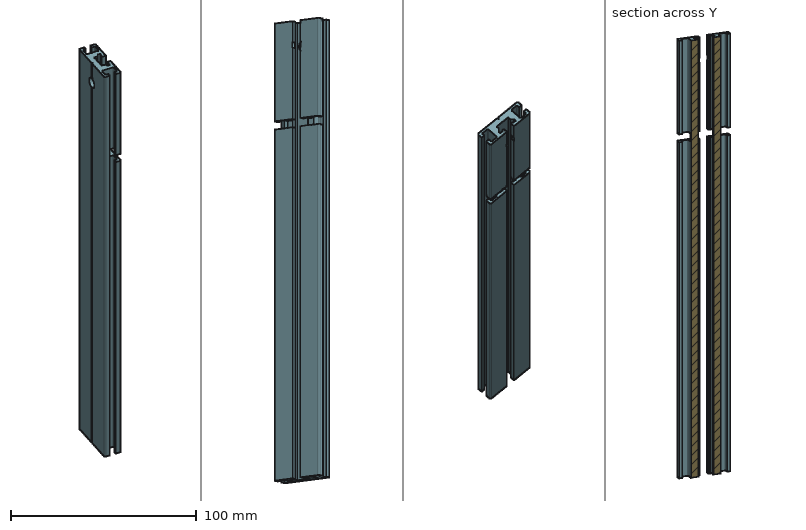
import cadquery as cq

width = 30.0
depth = 10.0
length = 250.0
corner = 0.8

front_flange = 1.5
back_flange = 1.2
pocket_corner = 0.5
side_lip_width = 2.0
side_opening = 3.5
side_web_x = 8.8

slot_opening = 5.2
slot_lip_width = 1.2
slot_roof = 2.0
slot_lip_height = 2.5
slot_half_width = 5.8
slot_shoulder_y = 6.8
slot_floor_half_width = 4.2
slot_taper_end_y = 5.5
slot_floor_y = 3.8

groove_width = 0.8
groove_depth = 0.8

hole_diameter = 6.0
hole_from_top = 13.0
notch_width = 4.5
notch_depth = 3.8
notch_bottom_z = 192.0


def mirrored_prism(right_half):
    """Extrude an outline symmetric about X = 0, given its right half from bottom to top."""
    left_half = [(-x, y) for x, y in reversed(right_half) if x > 0]
    return cq.Workplane("XY").polyline(right_half + left_half).close().extrude(length)


def rail_blank():
    blank = cq.Workplane("XY").rect(width, depth).extrude(length).translate((0, depth / 2, 0))
    return blank.edges("|Z").fillet(corner)


def side_slot(side):
    lip_x = width / 2 - side_lip_width
    pocket_width = lip_x - side_web_x
    opening_width = width / 2 - side_web_x
    pocket_height = depth - front_flange - back_flange
    pocket_y = front_flange + pocket_height / 2
    pocket = cq.Workplane("XY").box(pocket_width, pocket_height, length)
    pocket = pocket.edges("|Z").fillet(pocket_corner)
    pocket = pocket.translate((side * (side_web_x + pocket_width / 2), pocket_y, length / 2))
    opening = cq.Workplane("XY").box(opening_width, side_opening, length)
    opening = opening.translate((side * (side_web_x + opening_width / 2), depth / 2, length / 2))
    return pocket.union(opening)


def central_slot():
    lip_inner_x = slot_opening / 2
    lip_outer_x = lip_inner_x + slot_lip_width
    return mirrored_prism([
        (slot_floor_half_width, slot_floor_y),
        (slot_floor_half_width, slot_taper_end_y),
        (slot_half_width, slot_shoulder_y),
        (slot_half_width, depth - slot_roof),
        (lip_outer_x, depth - slot_roof),
        (lip_outer_x, depth - slot_lip_height),
        (lip_inner_x, depth - slot_lip_height),
        (lip_inner_x, depth),
    ])


def marking_groove():
    return mirrored_prism([(groove_width / 2, 0), (0, groove_depth)])


def screw_hole():
    return (
        cq.Workplane("XZ")
        .center(0, length - hole_from_top)
        .circle(hole_diameter / 2)
        .extrude(-depth)
    )


def cross_notch():
    notch = cq.Workplane("XY").box(width, notch_depth, notch_width)
    return notch.translate((0, depth - notch_depth / 2, notch_bottom_z + notch_width / 2))


result = rail_blank()
for side in (-1, 1):
    result = result.cut(side_slot(side))
result = result.cut(central_slot())
result = result.cut(marking_groove())
result = result.cut(screw_hole())
result = result.cut(cross_notch())